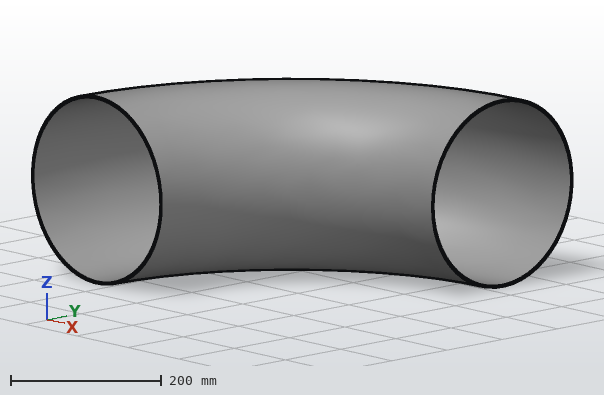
import cadquery as cq

outer_diameter = 254.0
wall_thickness = 2.77
bend_ratio = 1.5
bend_radius = bend_ratio * outer_diameter
bend_angle = 90.0

outer_radius = outer_diameter / 2
inner_radius = outer_radius - wall_thickness


def make_elbow():
    """Sweep the pipe ring from the -Y facing end to the +X facing end.

    The bend axis is parallel to Z through (bend_radius, 0); the first end
    is centred on the origin.
    """
    return (
        cq.Workplane("XZ")
        .circle(outer_radius)
        .circle(inner_radius)
        .revolve(bend_angle, (bend_radius, 0), (bend_radius, -1))
    )


result = make_elbow()